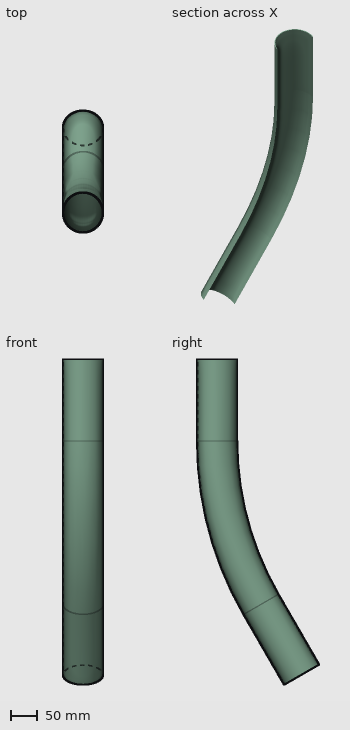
import cadquery as cq
import math

outer_diameter = 76.2
inner_diameter = 73.0
straight_length = 152.4
bend_radius = 609.6
bend_angle = 30.0


def point_on_bend(angle):
    """Centreline point (y, z) at an angle, in degrees, from the start of the bend."""
    turn = math.radians(angle)
    return (bend_radius * (1 - math.cos(turn)), -bend_radius * math.sin(turn))


top_end = (0, straight_length)
bend_start = point_on_bend(0)
bend_middle = point_on_bend(bend_angle / 2)
bend_end = point_on_bend(bend_angle)
lower_end = (
    bend_end[0] + straight_length * math.sin(math.radians(bend_angle)),
    bend_end[1] - straight_length * math.cos(math.radians(bend_angle)),
)
centreline = (
    cq.Workplane("YZ")
    .moveTo(*top_end)
    .lineTo(*bend_start)
    .threePointArc(bend_middle, bend_end)
    .lineTo(*lower_end)
)

result = (
    cq.Workplane("XY", origin=(0, 0, straight_length))
    .circle(outer_diameter / 2)
    .circle(inner_diameter / 2)
    .sweep(centreline)
)